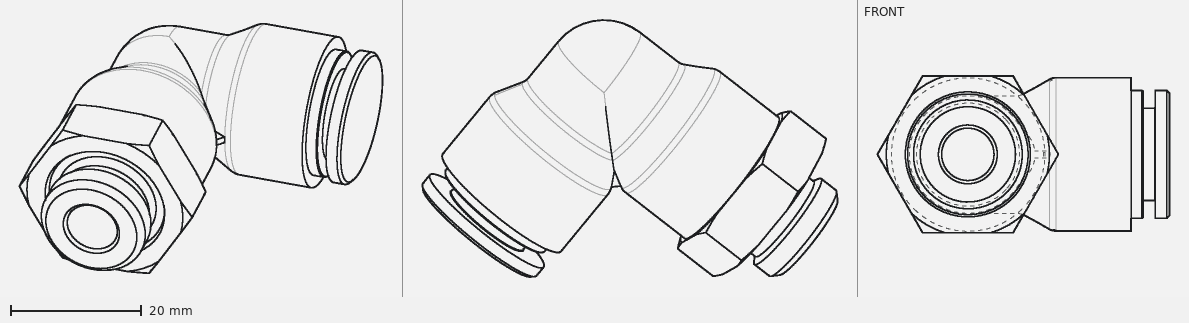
import cadquery as cq
import math


overall_length = 51.75
arm_length = 25.0
arm_dia = 23.5
neck_dia = 18.0
cone_start = 8.0
cone_end = 12.95
cone_blend = 2.0
web_thickness = 1.05
web_setback = 12.0

hex_across_flats = 24.0
hex_length = 8.0
hex_face_dia = 25.0
hex_corner_drop = 0.5
hex_corner_radius = hex_across_flats / math.sqrt(3)
thread_dia = 16.65
relief_dia = 14.6
root_dia = 15.8
relief_start = 0.5
thread_rear_chamfer = 0.6
relief_end = 2.4
recess_mouth_dia = 19.15
recess_floor_dia = 18.5
recess_depth = 1.1
bore_dia = 8.0
bore_mouth_dia = 9.0

ring_dia = 19.6
ring_length = 1.8
ring_chamfer = 0.15
button_neck_dia = 14.2
button_neck_length = 1.85
button_root_chamfer = 0.1
flange_height = ring_dia
flange_width = 22.5
flange_thickness = 2.2
flange_chamfer = 0.45

hex_rear_y = -arm_length
hex_face_y = hex_rear_y - hex_length
stud_tip_y = arm_dia / 2 - overall_length
ring_face_x = arm_length + ring_length
flange_x = ring_face_x + button_neck_length

X_AXIS = ((0, 0, 0), (1, 0, 0))
Y_AXIS = ((0, 0, 0), (0, 1, 0))


def make_tube_arm():
    """Arm along +X: slim neck, rounded cone, wide socket."""
    neck_radius = neck_dia / 2
    arm_radius = arm_dia / 2
    cone_angle = math.atan2(arm_radius - neck_radius, cone_end - cone_start)
    half_angle = cone_angle / 2
    tangent = cone_blend * math.tan(half_angle)
    along = tangent * math.cos(cone_angle)
    across = tangent * math.sin(cone_angle)
    mid_along = cone_blend * math.sin(half_angle)
    mid_across = cone_blend * (1 - math.cos(half_angle))
    blend_in = cone_start - tangent
    blend_out = cone_end + tangent
    return (
        cq.Workplane("XY")
        .lineTo(0, neck_radius)
        .lineTo(blend_in, neck_radius)
        .threePointArc(
            (blend_in + mid_along, neck_radius + mid_across),
            (cone_start + along, neck_radius + across),
        )
        .lineTo(cone_end - along, arm_radius - across)
        .threePointArc(
            (blend_out - mid_along, arm_radius - mid_across),
            (blend_out, arm_radius),
        )
        .lineTo(arm_length, arm_radius)
        .lineTo(arm_length, 0)
        .close()
        .revolve(360, *X_AXIS)
    )


def make_web():
    """Thin triangular web in the inner corner between the two cones."""
    edge_sum = 2 * web_setback
    return (
        cq.Workplane("XY")
        .workplane(offset=-web_thickness / 2)
        .polyline([
            (cone_start, -cone_start),
            (edge_sum - cone_end, -cone_end),
            (cone_end, cone_end - edge_sum),
        ])
        .close()
        .extrude(web_thickness)
    )


def make_elbow():
    tube_arm = make_tube_arm()
    stud_arm = tube_arm.rotate((0, 0, 0), (0, 0, 1), -90)
    corner_dome = cq.Workplane("XY").sphere(neck_dia / 2)
    return tube_arm.union(stud_arm).union(corner_dome).union(make_web())


def make_hexagon():
    """Hexagon with corners on the X axis, corner-chamfered at both ends."""
    hexagon = (
        cq.Workplane("XZ", origin=(0, hex_rear_y, 0))
        .polygon(6, 2 * hex_corner_radius)
        .extrude(hex_length)
    )
    chamfer_envelope = (
        cq.Workplane("XY")
        .polyline([
            (0, hex_rear_y),
            (hex_face_dia / 2, hex_rear_y),
            (hex_corner_radius, hex_rear_y - hex_corner_drop),
            (hex_corner_radius, hex_face_y + hex_corner_drop),
            (hex_face_dia / 2, hex_face_y),
            (0, hex_face_y),
        ])
        .close()
        .revolve(360, *Y_AXIS)
    )
    return hexagon.intersect(chamfer_envelope)


def make_face_recess():
    """Shallow countersunk recess in the hexagon face around the thread."""
    return (
        cq.Workplane("XY")
        .polyline([
            (0, hex_face_y),
            (recess_mouth_dia / 2, hex_face_y),
            (recess_floor_dia / 2, hex_face_y + recess_depth),
            (0, hex_face_y + recess_depth),
        ])
        .close()
        .revolve(360, *Y_AXIS)
    )


def make_thread():
    """Plain thread cylinder with its relief and root cone, rising from the recess floor."""
    thread_radius = thread_dia / 2
    relief_radius = relief_dia / 2
    tip_chamfer = thread_radius - relief_radius
    floor_y = hex_face_y + recess_depth
    relief_end_y = hex_face_y - relief_end
    return (
        cq.Workplane("XY")
        .moveTo(0, floor_y)
        .lineTo(root_dia / 2, floor_y)
        .lineTo(relief_radius, hex_face_y - relief_start)
        .lineTo(relief_radius, relief_end_y)
        .lineTo(thread_radius, relief_end_y - thread_rear_chamfer)
        .lineTo(thread_radius, stud_tip_y + tip_chamfer)
        .lineTo(relief_radius, stud_tip_y)
        .lineTo(0, stud_tip_y)
        .close()
        .revolve(360, *Y_AXIS)
    )


def make_bore():
    """Through bore with a 45-degree chamfer at the tip."""
    mouth_depth = (bore_mouth_dia - bore_dia) / 2
    return (
        cq.Workplane("XY")
        .polyline([
            (0, stud_tip_y),
            (bore_mouth_dia / 2, stud_tip_y),
            (bore_dia / 2, stud_tip_y + mouth_depth),
            (bore_dia / 2, hex_rear_y),
            (0, hex_rear_y),
        ])
        .close()
        .revolve(360, *Y_AXIS)
    )


def make_stud():
    return make_hexagon().cut(make_face_recess()).union(make_thread()).cut(make_bore())


def make_guide_ring():
    return (
        cq.Workplane("YZ", origin=(arm_length, 0, 0))
        .circle(ring_dia / 2)
        .extrude(ring_length)
        .faces(">X")
        .chamfer(ring_chamfer)
    )


def make_release_button():
    neck = (
        cq.Workplane("YZ", origin=(ring_face_x, 0, 0))
        .circle(button_neck_dia / 2)
        .extrude(button_neck_length)
    )
    flange = (
        cq.Workplane("YZ", origin=(flange_x, 0, 0))
        .ellipse(flange_width / 2, flange_height / 2)
        .extrude(flange_thickness)
        .faces(">X")
        .chamfer(flange_chamfer)
    )
    neck_root = cq.Workplane(cq.Solid.makeCone(
        button_neck_dia / 2,
        button_neck_dia / 2 + button_root_chamfer,
        button_root_chamfer,
        cq.Vector(flange_x - button_root_chamfer, 0, 0),
        cq.Vector(1, 0, 0),
    ))
    return neck.union(neck_root).union(flange)


elbow = make_elbow()
stud = make_stud()
guide_ring = make_guide_ring()
release_button = make_release_button()

result = cq.Compound.makeCompound([
    elbow.val(),
    stud.val(),
    guide_ring.val(),
    release_button.val(),
])